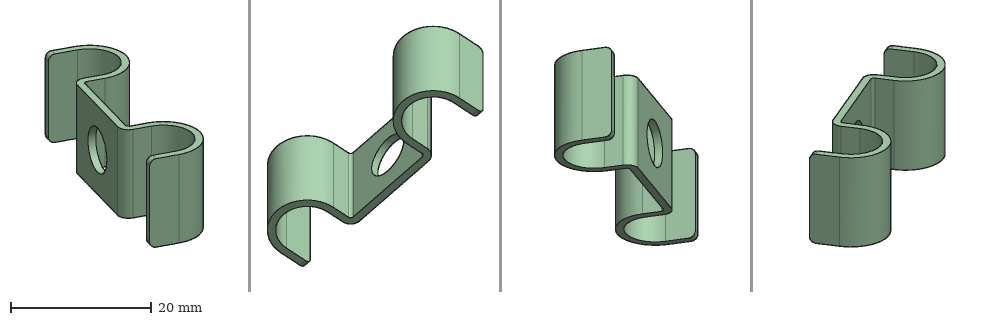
import cadquery as cq

length = 38.8
depth = 10.2
height = 14.0

thickness = 1.2
loop_radius = 5.7
bend_inner_radius = 0.5
bend_outer_radius = bend_inner_radius + thickness

hole_diameter = 7.0
corner_radius = 1.0

front_y = -depth / 2
web_back_y = front_y + thickness
loop_center_x = length / 2 - loop_radius
loop_center_y = depth / 2 - loop_radius
loop_inner_radius = loop_radius - thickness

leg_web_side_x = loop_center_x - loop_radius
leg_loop_side_x = leg_web_side_x + thickness
bend_center_x = leg_web_side_x - bend_inner_radius
bend_center_y = front_y + bend_outer_radius


def make_half_strip():
    """Half of the bent strip, from the middle of the web to the free end at +X."""
    outer_leg_inside_x = loop_center_x + loop_inner_radius
    bend_center = cq.Vector(bend_center_x, bend_center_y)
    diagonal = cq.Vector(1, -1).normalized()
    bend_inner_mid = bend_center + diagonal * bend_inner_radius
    bend_outer_mid = bend_center + diagonal * bend_outer_radius
    return (
        cq.Workplane("XY")
        .workplane(offset=-height / 2)
        .moveTo(0, web_back_y)
        .lineTo(bend_center_x, web_back_y)
        .threePointArc((bend_inner_mid.x, bend_inner_mid.y), (leg_web_side_x, bend_center_y))
        .lineTo(leg_web_side_x, loop_center_y)
        .threePointArc((loop_center_x, loop_center_y + loop_radius), (length / 2, loop_center_y))
        .lineTo(length / 2, front_y)
        .lineTo(outer_leg_inside_x, front_y)
        .lineTo(outer_leg_inside_x, loop_center_y)
        .threePointArc((loop_center_x, loop_center_y + loop_inner_radius), (leg_loop_side_x, loop_center_y))
        .lineTo(leg_loop_side_x, bend_center_y)
        .threePointArc((bend_outer_mid.x, bend_outer_mid.y), (bend_center_x, front_y))
        .lineTo(0, front_y)
        .close()
        .extrude(height)
    )


def round_free_end(half_strip):
    """Round the top and bottom corners of the free end."""
    free_end = cq.selectors.BoxSelector(
        (loop_center_x, front_y - thickness, -height),
        (length, front_y + thickness, height),
    )
    return half_strip.edges("|X").edges(free_end).fillet(corner_radius)


half_strip = round_free_end(make_half_strip())
strip = half_strip.union(half_strip.mirror("YZ")).clean()

hole = cq.Workplane("XZ").circle(hole_diameter / 2).extrude(depth, both=True)
result = strip.cut(hole)